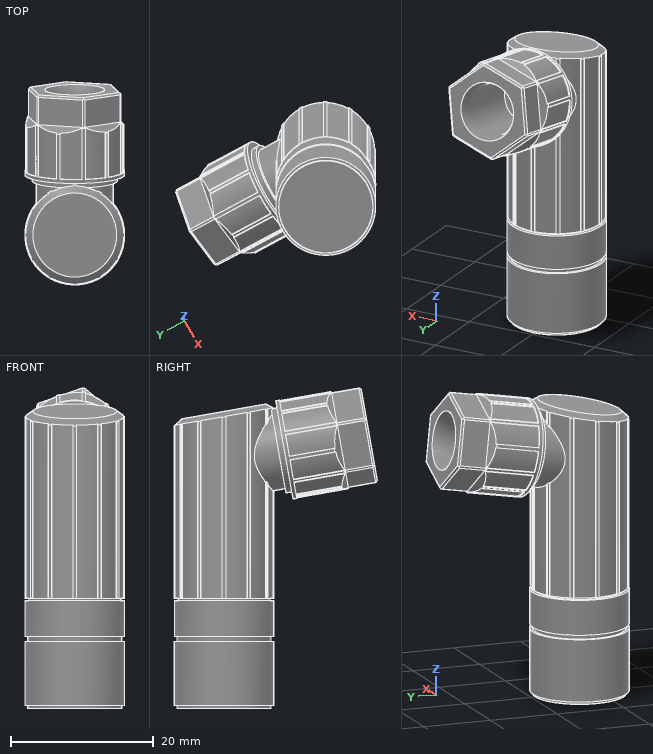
import cadquery as cq
import math

OUTER_RADIUS = 7.0
RIM_RADIUS = 6.6
RIM_TOP = 0.43
SLEEVE_TOP = 9.45
GROOVE_RADIUS = 6.6
RING_BOTTOM = 10.1
RING_TOP = 15.15
GAP_RADIUS = 6.45
GRIP_BOTTOM = 15.45

FACET_WIDTH = 2.75
FACET_ANGLE = -94.8

TILT = 10.0
TOP_HEIGHT = 41.68
CHAMFER_ON_TOP = 1.13
CHAMFER_ON_SIDE = 0.82

RIDGE_COUNT = 12
RIDGE_WIDTH = 0.52
RIDGE_HEIGHT = 0.13
PANEL_RADIUS = OUTER_RADIUS - RIDGE_HEIGHT

OUTLET_HEIGHT = 34.78
NECK_RADIUS = 5.4
COLLAR_START = 7.75
COLLAR_RADIUS = 6.0
NUT_START = 8.57
NUT_END = 20.68
NUT_LEAN = 10.5
FLANGE_LENGTH = 0.55
HEX_START = 16.5
HEX_ACROSS_FLATS = 12.0
HEX_CORNER_RADIUS = 6.82
HEX_END_CHAMFER = 0.3
MOUTH_RADIUS = 4.18
FLARE_RADIUS = 5.0
FLARE_ANGLE = math.radians(25)
BORE_DEPTH = NUT_END - NUT_START


def cylinder(radius, start, end):
    return cq.Workplane("XY").workplane(offset=start).circle(radius).extrude(end - start)


def hexagon(across_flats):
    corner_diameter = across_flats / math.cos(math.pi / 6)
    return cq.Workplane("XY").polygon(6, corner_diameter)


def ridged_cylinder(start, end):
    """Round bar with evenly spaced lengthwise ridges that stand out to OUTER_RADIUS."""
    bar = cylinder(PANEL_RADIUS, start, end)
    ridges = (
        cq.Workplane("XY")
        .workplane(offset=start)
        .polarArray(OUTER_RADIUS / 2, 0, 360, RIDGE_COUNT)
        .rect(OUTER_RADIUS, RIDGE_WIDTH)
        .extrude(end - start)
        .intersect(cylinder(OUTER_RADIUS, start, end))
    )
    return bar.union(ridges)


def slanted_envelope():
    """Plain cylinder with the slanted, chamfered top that trims the body."""
    blank_top = TOP_HEIGHT + 2 * OUTER_RADIUS
    rise = OUTER_RADIUS * math.tan(math.radians(TILT))
    profile = [
        (-OUTER_RADIUS, 0),
        (OUTER_RADIUS, 0),
        (OUTER_RADIUS, TOP_HEIGHT + rise),
        (-OUTER_RADIUS, TOP_HEIGHT - rise),
    ]
    wedge = cq.Workplane("YZ").polyline(profile).close().extrude(OUTER_RADIUS, both=True)
    envelope = cylinder(OUTER_RADIUS, 0, blank_top).intersect(wedge)
    return envelope.faces(">Z").chamfer(CHAMFER_ON_SIDE, CHAMFER_ON_TOP)


def marker_ring():
    ring = cylinder(OUTER_RADIUS, RING_BOTTOM, RING_TOP)
    facet_distance = math.sqrt(OUTER_RADIUS**2 - (FACET_WIDTH / 2) ** 2)
    cutter = (
        cq.Workplane("XY")
        .box(OUTER_RADIUS, FACET_WIDTH, RING_TOP, centered=(False, True, False))
        .translate((facet_distance, 0, 0))
        .rotate((0, 0, 0), (0, 0, 1), FACET_ANGLE)
    )
    return ring.cut(cutter)


def upright_body():
    grip = ridged_cylinder(GRIP_BOTTOM, TOP_HEIGHT + OUTER_RADIUS).intersect(slanted_envelope())
    return (
        cylinder(RIM_RADIUS, 0, RIM_TOP)
        .union(cylinder(OUTER_RADIUS, RIM_TOP, SLEEVE_TOP))
        .union(cylinder(GROOVE_RADIUS, SLEEVE_TOP, RING_BOTTOM))
        .union(marker_ring())
        .union(cylinder(GAP_RADIUS, RING_TOP, GRIP_BOTTOM))
        .union(grip)
    )


def nut():
    """Ridged nut with a hexagonal outer end; six 45 degree facets lead down to the hexagon."""
    flange_end = NUT_START + FLANGE_LENGTH
    flange = cylinder(OUTER_RADIUS, NUT_START, flange_end)
    barrel = flange.union(ridged_cylinder(flange_end, HEX_START))
    barrel_length = HEX_START - NUT_START
    facets = (
        hexagon(HEX_ACROSS_FLATS + 2 * barrel_length)
        .extrude(barrel_length, taper=45)
        .translate((0, 0, NUT_START))
    )
    hex_end = (
        hexagon(HEX_ACROSS_FLATS)
        .extrude(NUT_END - HEX_START)
        .faces(">Z")
        .chamfer(HEX_END_CHAMFER)
        .translate((0, 0, HEX_START))
        .intersect(cylinder(HEX_CORNER_RADIUS, HEX_START, NUT_END))
    )
    return barrel.intersect(facets).union(hex_end).rotate((0, 0, 0), (0, 0, 1), NUT_LEAN - 90)


def flared_bore():
    """Blind bore whose wall curves gently outward to a wider, sharp-edged mouth."""
    flare_length = FLARE_RADIUS * math.sin(FLARE_ANGLE)
    bore_radius = MOUTH_RADIUS - FLARE_RADIUS * (1 - math.cos(FLARE_ANGLE))
    flare_start = NUT_END - flare_length
    bottom = NUT_END - BORE_DEPTH
    return (
        cq.Workplane("XZ")
        .moveTo(0, bottom)
        .lineTo(bore_radius, bottom)
        .lineTo(bore_radius, flare_start)
        .tangentArcPoint((MOUTH_RADIUS, NUT_END), relative=False)
        .lineTo(0, NUT_END)
        .close()
        .revolve(360, (0, 0), (0, 1))
    )


def place_outlet(shape):
    """Lay a shape built along Z onto the outlet axis, which points to +Y and up by TILT."""
    return shape.rotate((0, 0, 0), (1, 0, 0), TILT - 90).translate((0, 0, OUTLET_HEIGHT))


outlet = (
    cylinder(NECK_RADIUS, 0, COLLAR_START)
    .union(cylinder(COLLAR_RADIUS, COLLAR_START, NUT_START))
    .union(nut())
    .cut(flared_bore())
)

result = upright_body().union(place_outlet(outlet))